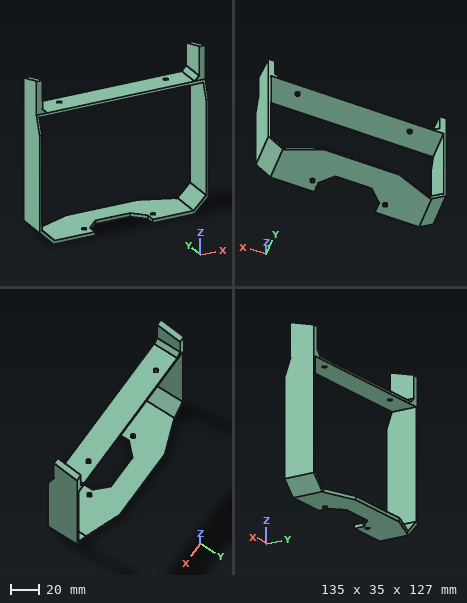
import cadquery as cq

width = 135.0
height = 127.0
frame_depth = 25.0
half_width = width / 2

wall = 2.0
floor_thickness = 3.0

outer_corner = 11.1
inner_corner = 10.0

bar_top = 100.8
arm_width = 5.0
gusset = 3.6

front_setback = 5.0
setback_start = 87.0
arm_back_height = 122.0
arm_flat_depth = 1.6

tongue_length = 10.0
tongue_root_half_width = 54.7
tongue_tip_half_width = 28.4

notch_mouth_half_width = 23.0
notch_straight_depth = 8.1
notch_taper = 9.2

hole_diameter = 3.2
bar_hole_x = 42.5
bar_hole_y = 17.8
floor_hole_x = 27.5
floor_hole_y = 8.4


def mirrored(right_points):
    """Close a half outline with its mirror image across X = 0."""
    return right_points + [(-x, y) for x, y in reversed(right_points)]


def extrude_back(points):
    """Extrude an XZ outline from Y = 0 to the back of the frame."""
    return cq.Workplane("XZ").polyline(points).close().extrude(-frame_depth)


def make_frame():
    arm_inside = half_width - arm_width
    outline = mirrored([
        (half_width - outer_corner, 0),
        (half_width, outer_corner),
        (half_width, height),
        (arm_inside, height),
        (arm_inside, bar_top + gusset),
        (arm_inside - gusset, bar_top),
    ])
    inside = half_width - wall
    opening = mirrored([
        (inside - inner_corner, floor_thickness),
        (inside, floor_thickness + inner_corner),
        (inside, bar_top - wall),
    ])
    return extrude_back(outline).cut(extrude_back(opening))


def make_side_envelope():
    """Side silhouette that slopes the arm tops and sets back the upper front."""
    return (
        cq.Workplane("YZ", origin=(-half_width, 0, 0))
        .polyline([
            (0, 0),
            (frame_depth, 0),
            (frame_depth, arm_back_height),
            (front_setback + arm_flat_depth, height),
            (front_setback, height),
            (front_setback, bar_top),
            (0, setback_start),
        ])
        .close()
        .extrude(width)
    )


def make_floor_plate(right_points):
    """Plate of floor thickness with a symmetric XY outline."""
    return cq.Workplane("XY").polyline(mirrored(right_points)).close().extrude(floor_thickness)


def make_hole_pair(x, y, top, depth):
    """Two vertical cutters placed symmetrically, reaching down from the given top."""
    return (
        cq.Workplane("XY", origin=(0, 0, top))
        .pushPoints([(-x, y), (x, y)])
        .circle(hole_diameter / 2)
        .extrude(-depth)
    )


tongue = make_floor_plate([
    (tongue_root_half_width, frame_depth),
    (tongue_tip_half_width, frame_depth + tongue_length),
])
notch = make_floor_plate([
    (notch_mouth_half_width, 0),
    (notch_mouth_half_width, notch_straight_depth),
    (notch_mouth_half_width - notch_taper, notch_straight_depth + notch_taper),
])

result = (
    make_frame()
    .intersect(make_side_envelope())
    .union(tongue)
    .cut(notch)
    .cut(make_hole_pair(bar_hole_x, bar_hole_y, bar_top, wall))
    .cut(make_hole_pair(floor_hole_x, floor_hole_y, floor_thickness, floor_thickness))
)